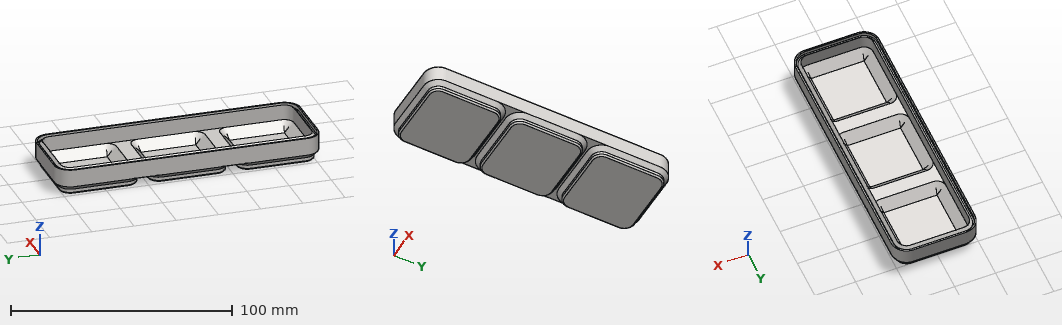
import cadquery as cq
import math

CELLS = 3
PITCH = 42.0
CELL_SIZE = 41.0
HEIGHT = 12.8
CORNER_RADIUS = 7.5

FOOT_CHAMFER = 0.8
FOOT_STRAIGHT_TOP = 2.4
FOOT_HEIGHT = 4.5
FOOT_INSET = FOOT_HEIGHT - FOOT_STRAIGHT_TOP

WALL = 3.0
FLOOR = 1.0
COMPARTMENT_DEPTH = CORNER_RADIUS - WALL
COMPARTMENT_TOP = FLOOR + COMPARTMENT_DEPTH
FLOOR_SIDE = CELL_SIZE - 2 * CORNER_RADIUS

RIM_WIDTH = 0.8
GROOVE_WIDTH = 0.8
GROOVE_DEPTH = 1.8
GROOVE_Z = HEIGHT - GROOVE_DEPTH
CREST_BASE_INSET = RIM_WIDTH + GROOVE_WIDTH
CREST_TAPER = math.degrees(math.atan((WALL - CREST_BASE_INSET) / GROOVE_DEPTH))

TRAY_LENGTH = (CELLS - 1) * PITCH + CELL_SIZE
CELL_CENTRES = [(i - (CELLS - 1) / 2) * PITCH for i in range(CELLS)]


def rounded_block(length, inset, z, height, y=0, taper=0):
    """Rounded block, inset from the outer walls at z, going up or down and narrowing by taper."""
    section = (
        cq.Sketch()
        .rect(CELL_SIZE - 2 * inset, length - 2 * inset)
        .vertices()
        .fillet(CORNER_RADIUS - inset)
    )
    return cq.Workplane("XY", origin=(0, y, z)).placeSketch(section).extrude(height, taper=taper)


def foot(y):
    """Foot of one cell: bottom chamfer, straight band and upper bevel."""
    upper_bevel = rounded_block(CELL_SIZE, 0, FOOT_HEIGHT, -FOOT_INSET, y, taper=45)
    band_height = FOOT_STRAIGHT_TOP - FOOT_CHAMFER
    straight_band = rounded_block(CELL_SIZE, FOOT_INSET, FOOT_CHAMFER, band_height, y)
    chamfer = rounded_block(CELL_SIZE, FOOT_INSET, FOOT_CHAMFER, -FOOT_CHAMFER, y, taper=45)
    return upper_bevel.union(straight_band).union(chamfer)


def compartment(y):
    """Cavity of one cell: sloped sides, with quarter-cone corners standing on a square floor."""
    half_floor = FLOOR_SIDE / 2
    half_top = half_floor + COMPARTMENT_DEPTH
    trapezoid = [
        (-half_floor, FLOOR),
        (half_floor, FLOOR),
        (half_top, COMPARTMENT_TOP),
        (-half_top, COMPARTMENT_TOP),
    ]
    trough = (
        cq.Workplane("XZ", origin=(0, half_floor, 0))
        .polyline(trapezoid)
        .close()
        .extrude(FLOOR_SIDE)
    )
    cavity = trough.union(trough.rotate((0, 0, 0), (0, 0, 1), 90))
    for x_corner in (-half_floor, half_floor):
        for y_corner in (-half_floor, half_floor):
            tip = cq.Vector(x_corner, y_corner, FLOOR)
            cone = cq.Solid.makeCone(0, COMPARTMENT_DEPTH, COMPARTMENT_DEPTH, pnt=tip)
            cavity = cavity.union(cq.Workplane(obj=cone))
    return cavity.translate((0, y, 0))


def rim_groove():
    """Material removed between the outer rim and the outward-sloping crest."""
    opening = rounded_block(TRAY_LENGTH, RIM_WIDTH, GROOVE_Z, GROOVE_DEPTH)
    crest = rounded_block(TRAY_LENGTH, CREST_BASE_INSET, GROOVE_Z, GROOVE_DEPTH, taper=CREST_TAPER)
    return opening.cut(crest)


result = rounded_block(TRAY_LENGTH, 0, FOOT_HEIGHT, HEIGHT - FOOT_HEIGHT)
for centre in CELL_CENTRES:
    result = result.union(foot(centre))

result = result.cut(rim_groove())
result = result.cut(rounded_block(TRAY_LENGTH, WALL, COMPARTMENT_TOP, HEIGHT - COMPARTMENT_TOP))
for centre in CELL_CENTRES:
    result = result.cut(compartment(centre))